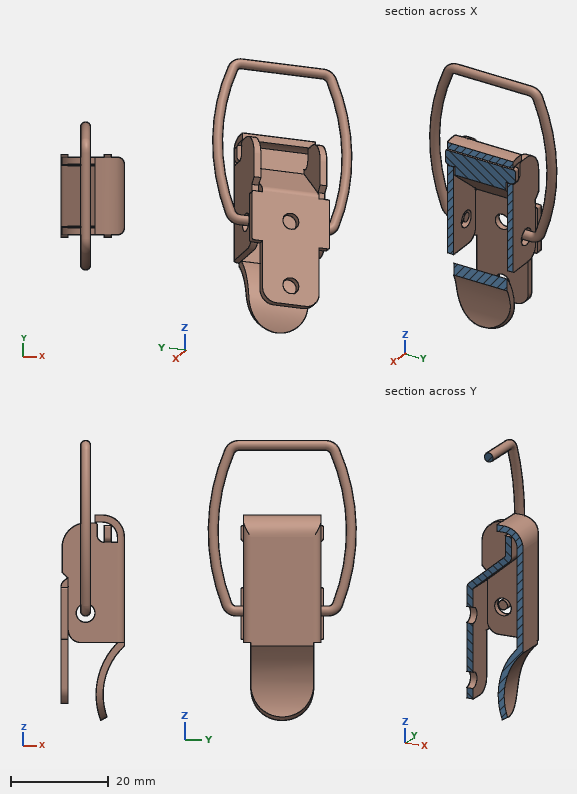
import cadquery as cq
import math


sheet = 1.5
depth = 13.0

channel_half = 8.0
channel_bottom = 15.95
wall_front = 0.25
wall_top = 40.5
wall_top_radius = 5.0
wall_bottom_radius = 2.6
notch_top = 30.35
slot_front = 7.45
slot_bottom = 36.55
slot_radius = 1.4
slot_edge_radius = 0.5
lip_top = 42.1
lip_front = 6.95
lip_radius = 4.55
wire_hole_radius = 1.9
wire_hole_z = 22.05
channel_inner_half = channel_half - sheet
web_front = depth - sheet

handle_radius = 15.05
handle_center_x = 22.2
handle_center_z = 5.35
handle_end_tilt = 30
handle_overrun = 10
handle_inner_radius = handle_radius - sheet

plate_half = 6.2
plate_bottom = 3.5
plate_corner_radius = 3.0
shoulder_half = 8.5
shoulder_bottom = 16.6
shoulder_top = 27.25
shoulder_radius = 0.4
screw_hole_radius = 1.7
screw_hole_zs = (7.6, 21.6)
bend_z = 27.45
bend_angle = math.radians(50)
tab_front = 8.85
tab_top = 40.0
ear_top_radius = 0.5
ear_bottom_radius = 1.0

wire_radius = 1.05
wire_x = 5.05
bail_width = 30.35
bail_top = 57.4
stub_z = 22.45
elbow_radius = 2.05
side_radius = 41.5
side_center_z = 38.8


def extrude_side_profile(profile, half_width):
    """Extrude an XZ outline equally to both sides of Y = 0."""
    return profile.extrude(half_width, both=True)


def on_circle(center, radius, angle):
    """Point on a circle at an angle in radians."""
    return (center[0] + radius * math.cos(angle), center[1] + radius * math.sin(angle))


def make_wall_blank():
    """Side wall outline across the full width, before the channel is hollowed out."""
    step = sheet - wall_front
    top_center = (wall_front + wall_top_radius, wall_top - wall_top_radius)
    bottom_center = (sheet + wall_bottom_radius, channel_bottom + wall_bottom_radius)
    edge_center = (slot_front - slot_edge_radius, wall_top - slot_edge_radius)
    slot_center = (slot_front + slot_radius, slot_bottom + slot_radius)
    profile = (
        cq.Workplane("XZ")
        .moveTo(depth, channel_bottom)
        .lineTo(bottom_center[0], channel_bottom)
        .threePointArc(
            on_circle(bottom_center, wall_bottom_radius, math.radians(225)),
            (sheet, bottom_center[1]),
        )
        .lineTo(sheet, notch_top - step)
        .lineTo(wall_front, notch_top)
        .lineTo(wall_front, top_center[1])
        .threePointArc(
            on_circle(top_center, wall_top_radius, math.radians(135)),
            (top_center[0], wall_top),
        )
        .lineTo(edge_center[0], wall_top)
        .threePointArc(
            on_circle(edge_center, slot_edge_radius, math.radians(45)),
            (slot_front, edge_center[1]),
        )
        .lineTo(slot_front, slot_center[1])
        .threePointArc(
            on_circle(slot_center, slot_radius, math.radians(225)),
            (slot_center[0], slot_bottom),
        )
        .lineTo(depth, slot_bottom)
        .close()
    )
    return extrude_side_profile(profile, channel_half)


def make_web():
    """Back of the channel with the lip curled over the hinge slot."""
    center = (depth - lip_radius, lip_top - lip_radius)
    inner_radius = lip_radius - sheet
    profile = (
        cq.Workplane("XZ")
        .moveTo(depth, channel_bottom)
        .lineTo(depth, center[1])
        .threePointArc(on_circle(center, lip_radius, math.radians(45)), (center[0], lip_top))
        .lineTo(lip_front, lip_top)
        .lineTo(lip_front, lip_top - sheet)
        .lineTo(center[0], lip_top - sheet)
        .threePointArc(on_circle(center, inner_radius, math.radians(45)), (web_front, center[1]))
        .lineTo(web_front, channel_bottom)
        .close()
    )
    return extrude_side_profile(profile, channel_half)


def make_handle():
    """Curved tongue, rounded to a full half circle at its tilted end."""
    center = (handle_center_x, handle_center_z)
    tip_angle = math.pi + math.asin(handle_center_z / handle_radius)
    end_angle = tip_angle + math.radians(handle_overrun)
    back_start = math.pi - math.acos((handle_center_x - depth) / handle_inner_radius)
    front_start = math.pi - math.acos((handle_center_x - web_front) / handle_radius)
    profile = (
        cq.Workplane("XZ")
        .moveTo(web_front, channel_bottom)
        .lineTo(depth, channel_bottom)
        .lineTo(*on_circle(center, handle_inner_radius, back_start))
        .threePointArc(
            on_circle(center, handle_inner_radius, (back_start + end_angle) / 2),
            on_circle(center, handle_inner_radius, end_angle),
        )
        .lineTo(*on_circle(center, handle_radius, end_angle))
        .threePointArc(
            on_circle(center, handle_radius, (front_start + end_angle) / 2),
            on_circle(center, handle_radius, front_start),
        )
        .close()
    )
    blank = extrude_side_profile(profile, channel_inner_half)

    tip_x, tip_z = on_circle(center, handle_radius, tip_angle)
    tilt = math.radians(handle_end_tilt)
    end_plane = cq.Plane(
        origin=(tip_x, 0, tip_z),
        xDir=(0, 1, 0),
        normal=(math.cos(tilt), 0, math.sin(tilt)),
    )
    tongue = (
        cq.Workplane(end_plane)
        .moveTo(-channel_inner_half, channel_bottom + channel_inner_half)
        .lineTo(-channel_inner_half, channel_inner_half)
        .threePointArc((0, 0), (channel_inner_half, channel_inner_half))
        .lineTo(channel_inner_half, channel_bottom + channel_inner_half)
        .close()
        .extrude(depth, both=True)
    )
    return blank.intersect(tongue)


def make_lever():
    height = lip_top - channel_bottom
    cavity = (
        cq.Workplane("XY")
        .box(web_front, 2 * channel_inner_half, height, centered=(False, True, False))
        .translate((0, 0, channel_bottom))
    )
    rounded_back = (
        cq.Workplane("XY")
        .box(depth, 2 * channel_half, height, centered=(False, True, False))
        .translate((0, 0, channel_bottom))
        .edges("|Z and >X")
        .fillet(sheet)
    )
    wire_holes = extrude_side_profile(
        cq.Workplane("XZ").center(wire_x, wire_hole_z).circle(wire_hole_radius), channel_half
    )
    walls = make_wall_blank().cut(cavity).cut(wire_holes)
    return walls.union(make_web()).intersect(rounded_back).union(make_handle())


def make_mounting_plate():
    """Vertical plate, bent into a ramp that ends in the upright hinge tab."""
    bend_center = (sheet, bend_z)
    ramp_start = on_circle(bend_center, sheet, math.pi - bend_angle)
    crease = (tab_front, ramp_start[1] + (tab_front - ramp_start[0]) / math.tan(bend_angle))
    tab_back = tab_front + sheet
    profile = (
        cq.Workplane("XZ")
        .moveTo(0, plate_bottom)
        .lineTo(0, bend_z)
        .threePointArc(on_circle(bend_center, sheet, math.pi - bend_angle / 2), ramp_start)
        .lineTo(*crease)
        .lineTo(tab_front, tab_top)
        .lineTo(tab_back, tab_top)
        .lineTo(tab_back, crease[1])
        .threePointArc(on_circle(crease, sheet, -bend_angle / 2), on_circle(crease, sheet, -bend_angle))
        .lineTo(*bend_center)
        .lineTo(sheet, plate_bottom)
        .close()
    )
    strip = (
        extrude_side_profile(profile, plate_half)
        .edges("|X and <Z")
        .fillet(plate_corner_radius)
    )
    shoulders = (
        cq.Workplane("XY")
        .box(sheet, 2 * shoulder_half, shoulder_top - shoulder_bottom, centered=(False, True, False))
        .translate((0, 0, shoulder_bottom))
        .edges("|X")
        .fillet(shoulder_radius)
    )
    ears = (
        cq.Workplane("XY")
        .box(sheet, 2 * shoulder_half, tab_top - slot_bottom, centered=(False, True, False))
        .translate((tab_front, 0, slot_bottom))
        .edges("|X and >Z")
        .fillet(ear_top_radius)
        .edges("|X and <Z")
        .fillet(ear_bottom_radius)
    )
    screw_holes = (
        cq.Workplane("YZ")
        .pushPoints([(0, z) for z in screw_hole_zs])
        .circle(screw_hole_radius)
        .extrude(sheet)
    )
    return strip.union(shoulders).union(ears).cut(screw_holes)


def make_bail():
    """Round wire swept from one wire hole over the top bar to the other, ending flush inside the walls."""
    side_center = (bail_width / 2 - wire_radius - side_radius, side_center_z)
    top_z = bail_top - wire_radius

    def elbow_center(z):
        reach = side_radius - elbow_radius
        return (side_center[0] + math.sqrt(reach**2 - (z - side_center_z) ** 2), z)

    lower = elbow_center(stub_z + elbow_radius)
    upper = elbow_center(top_z - elbow_radius)
    lower_angle = math.atan2(lower[1] - side_center[1], lower[0] - side_center[0])
    upper_angle = math.atan2(upper[1] - side_center[1], upper[0] - side_center[0])

    side_points = [
        (lower[0], stub_z),
        on_circle(lower, elbow_radius, (lower_angle - math.pi / 2) / 2),
        on_circle(lower, elbow_radius, lower_angle),
        on_circle(side_center, side_radius, (lower_angle + upper_angle) / 2),
        on_circle(side_center, side_radius, upper_angle),
        on_circle(upper, elbow_radius, (upper_angle + math.pi / 2) / 2),
        (upper[0], top_z),
    ]
    mirrored_points = [(-y, z) for y, z in reversed(side_points)]

    path = cq.Workplane("YZ", origin=(wire_x, 0, 0)).moveTo(channel_inner_half, stub_z)
    for points in (side_points, mirrored_points):
        path = path.lineTo(*points[0])
        for middle, end in zip(points[1::2], points[2::2]):
            path = path.threePointArc(middle, end)
    path = path.lineTo(-channel_inner_half, stub_z)

    return (
        cq.Workplane("XZ", origin=(wire_x, channel_inner_half, stub_z))
        .circle(wire_radius)
        .sweep(path)
    )


lever = make_lever()
mounting_plate = make_mounting_plate()
bail = make_bail()

result = cq.Compound.makeCompound([lever.solids().val(), mounting_plate.solids().val(), bail.val()])